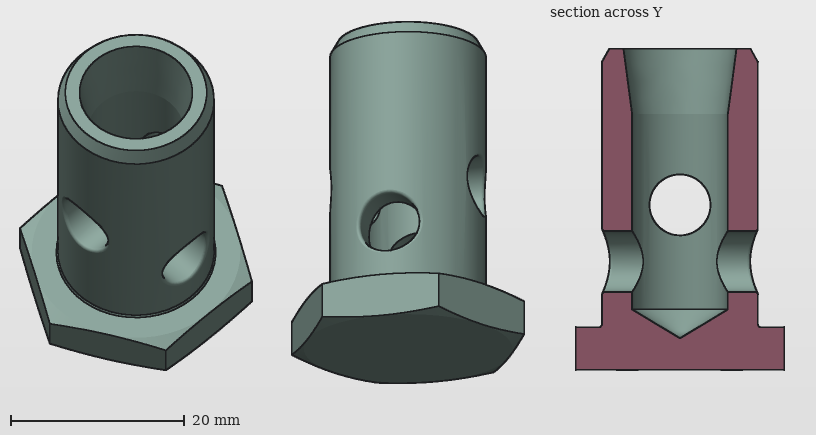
import cadquery as cq
import math

total_height = 37.0
head_height = 5.0
across_flats = 24.0
head_chamfer_angle = 15.0

shank_radius = 18.0 / 2
tip_chamfer_height = 1.5
tip_radius = 8.15
collar_radius = 9.18
collar_height = 0.22

mouth_radius = 13.0 / 2
bore_radius = 11.0 / 2
mouth_depth = 7.55
bore_floor = 7.0
drill_point_angle = 118.0

cross_hole_diameter = 7.0
cross_hole_rounding = 0.35
upper_hole_height = 19.0
lower_hole_height = 12.5


def make_head():
    """Hexagon with corners on the Y axis, both ends chamfered by a cone."""
    flat_radius = across_flats / 2
    corner_radius = flat_radius / math.cos(math.radians(30))
    corner_drop = (corner_radius - flat_radius) * math.tan(math.radians(head_chamfer_angle))
    hexagon = (
        cq.Workplane("XY")
        .polygon(6, 2 * corner_radius)
        .extrude(head_height)
        .rotate((0, 0, 0), (0, 0, 1), 30)
    )
    chamfer_envelope = (
        cq.Workplane("XZ")
        .polyline([
            (0, 0),
            (flat_radius, 0),
            (corner_radius, corner_drop),
            (corner_radius, head_height - corner_drop),
            (flat_radius, head_height),
            (0, head_height),
        ])
        .close()
        .revolve(360, (0, 0, 0), (0, 1, 0))
    )
    return hexagon.intersect(chamfer_envelope)


def make_shank():
    """Round shank with a chamfered tip and a small conical collar at the head."""
    return (
        cq.Workplane("XZ")
        .polyline([
            (0, 0),
            (shank_radius, 0),
            (shank_radius, head_height),
            (collar_radius, head_height),
            (shank_radius, head_height + collar_height),
            (shank_radius, total_height - tip_chamfer_height),
            (tip_radius, total_height),
            (0, total_height),
        ])
        .close()
        .revolve(360, (0, 0, 0), (0, 1, 0))
    )


def make_bore():
    """Blind cavity opening at the tip."""
    point_depth = bore_radius / math.tan(math.radians(drill_point_angle / 2))
    return (
        cq.Workplane("XZ")
        .polyline([
            (0, total_height),
            (mouth_radius, total_height),
            (bore_radius, total_height - mouth_depth),
            (bore_radius, bore_floor),
            (0, bore_floor - point_depth),
        ])
        .close()
        .revolve(360, (0, 0, 0), (0, 1, 0))
    )


def drill_cross_hole(body, plane, height):
    """Drill through both walls and round the two outer rims."""
    drill = (
        cq.Workplane(plane)
        .center(0, height)
        .circle(cross_hole_diameter / 2)
        .extrude(2 * shank_radius, both=True)
    )
    hole_middle = cq.Vector(0, 0, height)
    drilled = body.cut(drill)

    def is_outer_rim(edge):
        box = edge.BoundingBox()
        nearby = (edge.Center() - hole_middle).Length < shank_radius
        hole_sized = abs(box.zlen - cross_hole_diameter) < cross_hole_rounding
        reach = max(abs(box.xmin), abs(box.xmax), abs(box.ymin), abs(box.ymax))
        return nearby and hole_sized and reach > (bore_radius + shank_radius) / 2

    rims = [edge for edge in drilled.edges().vals() if is_outer_rim(edge)]
    return drilled.newObject(rims).fillet(cross_hole_rounding)


result = make_head().union(make_shank()).cut(make_bore())
result = drill_cross_hole(result, "XZ", upper_hole_height)
result = drill_cross_hole(result, "YZ", lower_hole_height)